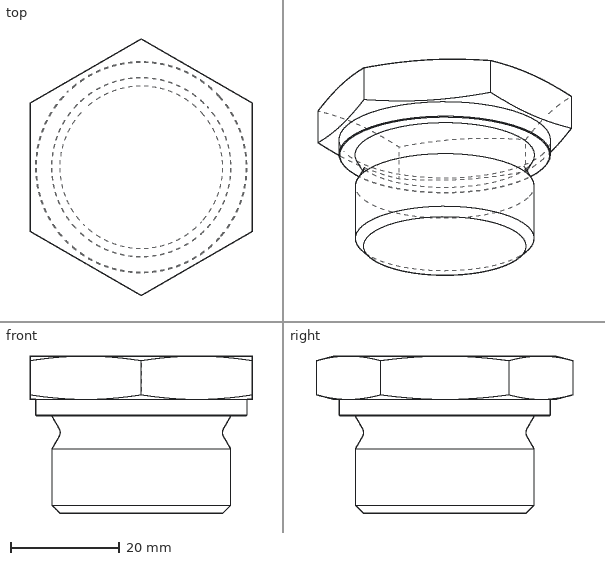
import cadquery as cq
import math

across_flats = 41.0
head_height = 8.0
head_chamfer_angle = 15.0
hexagon_sides = 6
envelope_margin = 1.0

collar_diameter = 39.0
collar_height = 3.0
collar_chamfer = 0.15

shank_diameter = 33.0
shank_length = 18.0
shank_chamfer = 1.5

groove_floor_diameter = 30.0
groove_floor_height = 14.9
groove_floor_radius = 1.5
groove_cone_angle = 30.0

across_corners = across_flats / math.cos(math.pi / hexagon_sides)
collar_top = shank_length + collar_height
total_height = collar_top + head_height


def make_head():
    """Hexagon with corners on the Y axis, both ends bevelled by shallow cones."""
    prism = (
        cq.Workplane("XY")
        .workplane(offset=collar_top)
        .polygon(hexagon_sides, across_corners)
        .extrude(head_height)
        .rotate((0, 0, 0), (0, 0, 1), 90)
    )
    face_radius = across_flats / 2
    envelope_radius = across_corners / 2 + envelope_margin
    bevel_drop = (envelope_radius - face_radius) * math.tan(math.radians(head_chamfer_angle))
    envelope = (
        cq.Workplane("XZ")
        .moveTo(0, collar_top)
        .lineTo(face_radius, collar_top)
        .lineTo(envelope_radius, collar_top + bevel_drop)
        .lineTo(envelope_radius, total_height - bevel_drop)
        .lineTo(face_radius, total_height)
        .lineTo(0, total_height)
        .close()
        .revolve(360, (0, 0, 0), (0, 1, 0))
    )
    return prism.intersect(envelope)


def make_turned_body():
    """Shank, undercut groove and collar, revolved about Z as one profile."""
    shank_radius = shank_diameter / 2
    collar_radius = collar_diameter / 2
    floor_radius = groove_floor_diameter / 2
    slope = math.tan(math.radians(groove_cone_angle))

    blend_half_height = groove_floor_radius * math.sin(math.radians(groove_cone_angle))
    blend_rise = groove_floor_radius * (1 - math.cos(math.radians(groove_cone_angle)))
    blend_radius = floor_radius + blend_rise
    blend_bottom = groove_floor_height - blend_half_height
    blend_top = groove_floor_height + blend_half_height

    groove_bottom = blend_bottom - (shank_radius - blend_radius) / slope
    groove_top_radius = blend_radius + (shank_length - blend_top) * slope

    return (
        cq.Workplane("XZ")
        .lineTo(shank_radius - shank_chamfer, 0)
        .lineTo(shank_radius, shank_chamfer)
        .lineTo(shank_radius, groove_bottom)
        .lineTo(blend_radius, blend_bottom)
        .threePointArc((floor_radius, groove_floor_height), (blend_radius, blend_top))
        .lineTo(groove_top_radius, shank_length)
        .lineTo(collar_radius - collar_chamfer, shank_length)
        .lineTo(collar_radius, shank_length + collar_chamfer)
        .lineTo(collar_radius, collar_top)
        .lineTo(0, collar_top)
        .close()
        .revolve(360, (0, 0, 0), (0, 1, 0))
    )


result = make_turned_body().union(make_head())